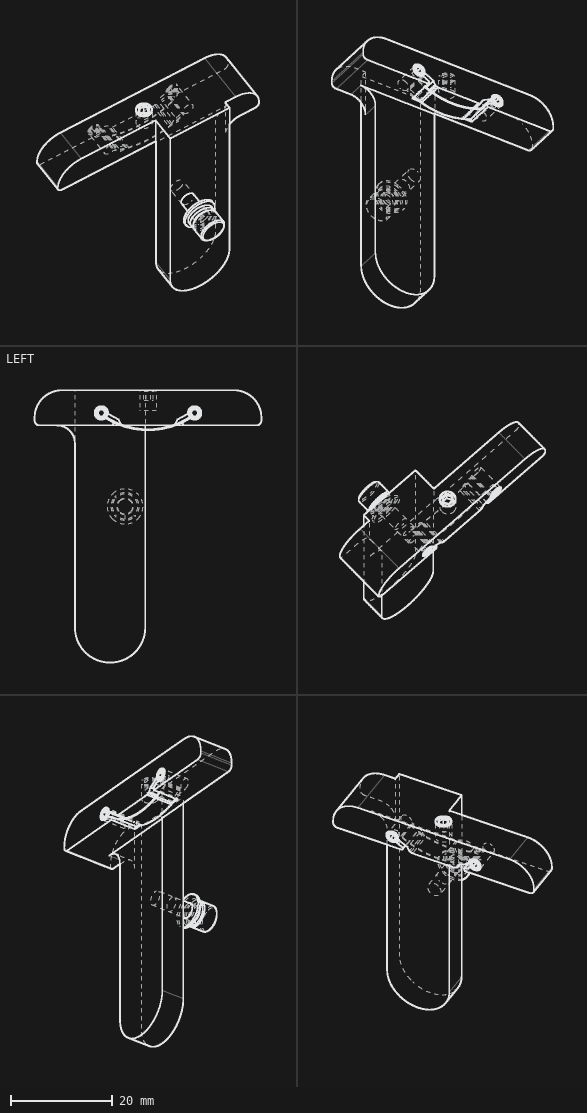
import cadquery as cq
import math


bar_length = 45.0
bar_height = 7.0
bar_thin_depth = 7.65
bar_thick_depth = 11.4
bar_top_radius = 5.5
bar_bottom_radius = 1.0

total_height = 54.0
plate_front = 7.8
plate_back = 13.0
plate_width = 14.0
plate_center_y = 7.5
plate_side_y = plate_center_y + plate_width / 2
corner_radius = 3.5

screw_y = 4.6
screw_z = -23.0
screw_diameter = 3.0
screw_engagement = 4.0
head_diameter = 5.5
head_length = 3.5
head_chamfer = 0.25
screw_end = 22.5
head_start = screw_end - head_length

washer_bore = 3.25
lock_height = 1.45
lock_thickness = lock_height / 2
lock_lead = 1.0
lock_start = head_start - lock_height
plain_diameter = 7.0
plain_thickness = 0.5

set_x = 4.2
set_diameter = 3.25
set_length = 4.0
set_chamfer = 0.1
set_hex = 1.6
set_hex_mouth = 2.1
set_hex_chamfer = 0.25
set_hex_depth = 2.0

pin_y = 9.25
pin_z = -4.55
pin_diameter = 2.5
pin_chamfer = 0.25
pin_hex = 1.3
pin_hex_depth = 1.5
pin_rim_chamfer = 0.1

spring_front = 1.95
spring_back = 5.9
spring_thickness = 0.2
spring_drop = 0.95
spring_radius = 15.6
spring_bottom = -bar_height - spring_drop
spring_center_z = spring_bottom + spring_radius
spring_half_angle = 31.6


def cylinder_x(diameter, start, end, y, z):
    """Cylinder along X between two X positions."""
    return cq.Workplane("YZ", origin=(start, y, z)).circle(diameter / 2).extrude(end - start)


def across_corners(across_flats):
    return across_flats / math.cos(math.pi / 6)


def leaf(start, end):
    """Arc-shaped strip between the two pins, spanning the given X range."""
    def point(radius, angle):
        a = math.radians(angle)
        return (radius * math.sin(a), spring_center_z - radius * math.cos(a))

    outer = spring_radius
    inner = spring_radius - spring_thickness
    half = spring_half_angle
    return (
        cq.Workplane("YZ", origin=(start, 0, 0))
        .moveTo(*point(outer, -half))
        .threePointArc(point(outer, 0), point(outer, half))
        .lineTo(*point(inner, half))
        .threePointArc(point(inner, 0), point(inner, -half))
        .close()
        .extrude(end - start)
    )


def spring_pocket(side):
    """Pocket round one end of the leaf spring, open to the front and to the underside."""
    outline = [
        (7.7, 2.2),
        (5.85, 1.2),
        (5.45, 0.4),
        (5.0, 0),
        (7.0, 0),
        (6.75, 0.7),
        (8.2, 1.45),
        (pin_y, bar_height + pin_z),
    ]
    points = [(side * y, height - bar_height) for y, height in outline]
    return cq.Workplane("YZ").polyline(points).close().extrude(spring_back)


def make_bar():
    bar = (
        cq.Workplane("XY")
        .box(bar_thick_depth, bar_length, bar_height, centered=(False, True, False))
        .translate((0, 0, -bar_height))
    )
    bar = bar.edges("|X and >Z").fillet(bar_top_radius)
    bar = bar.edges("|X and <Z").fillet(bar_bottom_radius)
    relief = cq.Workplane("XY").box(
        bar_thick_depth - bar_thin_depth,
        bar_length / 2 + plate_center_y,
        2 * bar_height,
        centered=(False, False, True),
    )
    return bar.cut(relief.translate((bar_thin_depth, -bar_length / 2, 0)))


def make_plate():
    thickness = plate_back - plate_front
    end_center_z = plate_width / 2 - total_height
    plate = (
        cq.Workplane("YZ", origin=(plate_front, 0, 0))
        .moveTo(plate_side_y, 0)
        .lineTo(plate_side_y, end_center_z)
        .threePointArc((plate_center_y, -total_height), (plate_side_y - plate_width, end_center_z))
        .lineTo(plate_side_y - plate_width, 0)
        .close()
        .extrude(thickness)
    )
    root = cq.Workplane("XY").box(thickness, plate_width, bar_height, centered=(False, True, False))
    root = root.translate((bar_thin_depth, plate_center_y, -bar_height))
    diagonal = corner_radius * (1 - math.sqrt(0.5))
    corner = (
        cq.Workplane("YZ", origin=(plate_front, plate_side_y, -bar_height))
        .lineTo(corner_radius, 0)
        .threePointArc((diagonal, -diagonal), (0, -corner_radius))
        .close()
        .extrude(bar_thick_depth - plate_front)
    )
    return plate.union(root).union(corner)


def make_handle():
    handle = make_bar().union(make_plate())
    handle = handle.cut(cylinder_x(screw_diameter, plate_back - screw_engagement, plate_back, screw_y, screw_z))

    set_hole = cq.Workplane("XY", origin=(set_x, 0, 0)).circle(set_diameter / 2).extrude(-set_length)
    handle = handle.cut(set_hole)

    handle = handle.cut(leaf(0, spring_back))
    for side in (-1, 1):
        handle = handle.cut(spring_pocket(side))
        handle = handle.cut(cylinder_x(pin_diameter, 0, spring_back, side * pin_y, pin_z))
        rim = cq.Solid.makeCone(
            pin_diameter / 2 + pin_rim_chamfer,
            pin_diameter / 2,
            pin_rim_chamfer,
            cq.Vector(0, side * pin_y, pin_z),
            cq.Vector(1, 0, 0),
        )
        handle = handle.cut(cq.Workplane(rim))
    return handle


def make_screw():
    shank = cylinder_x(screw_diameter, plate_back - screw_engagement, head_start, screw_y, screw_z)
    head = cylinder_x(head_diameter, head_start, screw_end, screw_y, screw_z)
    return shank.union(head.faces("<X or >X").chamfer(head_chamfer))


def make_plain_washer():
    start = lock_start - plain_thickness
    disc = cylinder_x(plain_diameter, start, lock_start, screw_y, screw_z)
    return disc.cut(cylinder_x(washer_bore, start, lock_start, screw_y, screw_z))


def make_lock_washer():
    """One left-handed turn split at the bottom, flattened where it rests on the plain washer."""
    inner = washer_bore / 2
    outer = head_diameter / 2
    middle = (inner + outer) / 2
    coil_path = cq.Wire.makeHelix(lock_lead, lock_lead, middle, lefthand=True)
    coil = (
        cq.Workplane("XZ", origin=(middle, 0, 0))
        .rect(outer - inner, lock_thickness)
        .sweep(cq.Workplane(coil_path), isFrenet=True)
    )
    coil = coil.rotate((0, 0, 0), (0, 1, 0), 90)
    first_middle = head_start - lock_thickness / 2 - lock_lead
    coil = coil.translate((first_middle, screw_y, screw_z))
    return coil.intersect(cylinder_x(plain_diameter, lock_start, head_start, screw_y, screw_z))


def make_set_screw():
    body = cq.Workplane("XY", origin=(set_x, 0, 0)).circle(set_diameter / 2).extrude(-set_length)
    body = body.faces(">Z").chamfer(set_chamfer)
    socket = (
        cq.Workplane("XY", origin=(set_x, 0, 0))
        .transformed(rotate=(0, 0, 90))
        .polygon(6, across_corners(set_hex))
        .extrude(-set_hex_depth)
    )
    mouth = (
        cq.Workplane("XY", origin=(set_x, 0, 0))
        .transformed(rotate=(0, 0, 90))
        .polygon(6, across_corners(set_hex_mouth))
        .workplane(offset=-set_hex_chamfer)
        .polygon(6, across_corners(set_hex))
        .loft()
    )
    return body.cut(socket).cut(mouth)


def make_pin(side):
    body = cylinder_x(pin_diameter, 0, spring_back, side * pin_y, pin_z).faces("<X").chamfer(pin_chamfer)
    socket = (
        cq.Workplane("YZ", origin=(0, side * pin_y, pin_z))
        .polygon(6, across_corners(pin_hex))
        .extrude(pin_hex_depth)
    )
    return body.cut(socket)


handle = make_handle()
screw = make_screw()
plain_washer = make_plain_washer()
lock_washer = make_lock_washer()
set_screw = make_set_screw()
leaf_spring = leaf(spring_front, spring_back)
pins = [make_pin(side) for side in (-1, 1)]

result = cq.Compound.makeCompound(
    [
        handle.val(),
        screw.val(),
        plain_washer.val(),
        lock_washer.val(),
        set_screw.val(),
        leaf_spring.val(),
        *[pin.val() for pin in pins],
    ]
)